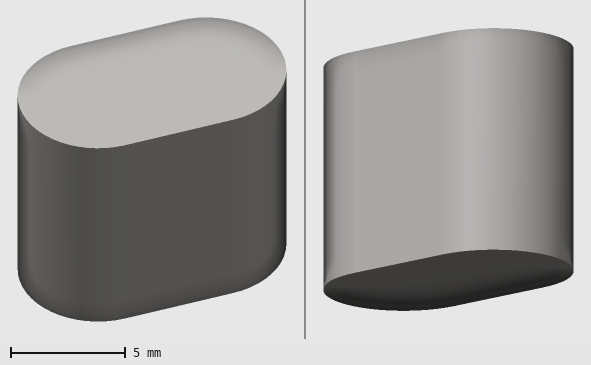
import cadquery as cq

length = 12.0
width = 7.0
height = 10.0

result = (
    cq.Workplane("XY")
    .slot2D(length, width, angle=90)
    .extrude(height)
)